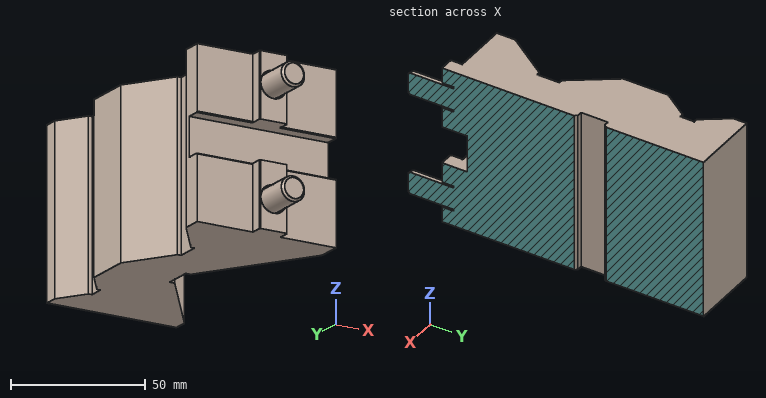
import cadquery as cq
import math

total_length = 130.0
base_width = 60.0
height = 70.0
top_width = 56.0

pin_length = 15.0
key_height = 5.1
key_width = 12.0
slot_depth = 10.9
slot_height = 16.0
edge_chamfer = 0.4

pin_diameter = 10.0
clearance_diameter = 11.0
clearance_depth = 5.0
pin_spacing = 45.0
pin_chamfer = 0.9

flank_slope = math.tan(math.radians(55))
relief_depth = 1.5
right_relief_depth = 2.2

large_left_root_x = 13.3
large_left_center_y = 52.0
large_left_groove_width = 9.8

small_left_root_x = 7.9
small_left_center_y = 109.8
small_left_groove_width = 6.1

right_root_x = 29.2
right_center_y = 80.1
right_groove_width = 11.7

key_face_y = pin_length
base_y = key_face_y + key_height
middle_x = base_width / 2
middle_z = height / 2


def v_notch(mouth_x, root_x, center_y, groove_width, groove_depth):
    """Corner points of a V notch with a relief groove, in order of rising Y."""
    half_groove = groove_width / 2
    inward = math.copysign(1, root_x - mouth_x)
    groove_x = root_x + inward * groove_depth
    lower_y = center_y - half_groove
    upper_y = center_y + half_groove

    flank_rise = abs(root_x - mouth_x) * flank_slope
    return [
        (mouth_x, lower_y - flank_rise),
        (root_x, lower_y),
        (groove_x, lower_y),
        (groove_x, upper_y),
        (root_x, upper_y),
        (mouth_x, upper_y + flank_rise),
    ]


def block():
    """Extruded body with two V notches on the left and one on the right."""
    large_left = v_notch(
        0, large_left_root_x, large_left_center_y, large_left_groove_width, relief_depth
    )
    small_left = v_notch(
        0, small_left_root_x, small_left_center_y, small_left_groove_width, relief_depth
    )
    right = v_notch(
        base_width, right_root_x, right_center_y, right_groove_width, right_relief_depth
    )
    cut_short = (base_width - top_width) * flank_slope
    right[-1] = (top_width, right[-1][1] - cut_short)

    outline = [(0, base_y)] + large_left + small_left
    outline += [(0, total_length), (top_width, total_length)]
    outline += right[::-1] + [(base_width, base_y)]
    return cq.Workplane("XY").polyline(outline).close().extrude(height)


def key():
    """Locating key below the base, with its long outer edges chamfered."""
    depth = key_height + edge_chamfer
    bar = cq.Workplane("XY").box(key_width, depth, height, centered=(True, False, False))
    bar = bar.faces("<Y").edges("|Z").chamfer(edge_chamfer)
    return bar.translate((middle_x, key_face_y, 0))


def cross_slot():
    """Slot across the base and key, flared where it meets the base face."""
    half = slot_height / 2
    floor_y = key_face_y + slot_depth
    slot = (
        cq.Workplane("YZ")
        .center(0, middle_z)
        .polyline([(0, -half), (floor_y, -half), (floor_y, half), (0, half)])
        .close()
        .extrude(base_width)
    )
    flare_half = half + edge_chamfer
    flare = (
        cq.Workplane("YZ")
        .center(base_y, middle_z)
        .polyline([(0, -flare_half), (edge_chamfer, -half), (edge_chamfer, half), (0, flare_half)])
        .close()
        .extrude(base_width)
    )
    return slot.union(flare.cut(key()))


def cylinder(diameter, start_y, length, z):
    """Cylinder along +Y centered across the base width."""
    center = cq.Vector(middle_x, start_y, z)
    return cq.Workplane(cq.Solid.makeCylinder(diameter / 2, length, center, cq.Vector(0, 1, 0)))


result = block().union(key()).cut(cross_slot())
for side in (-1, 1):
    pin_z = middle_z + side * pin_spacing / 2
    pin = cylinder(pin_diameter, 0, pin_length + clearance_depth, pin_z)
    pin = pin.faces("<Y").chamfer(pin_chamfer)
    result = result.cut(cylinder(clearance_diameter, key_face_y, clearance_depth, pin_z)).union(pin)